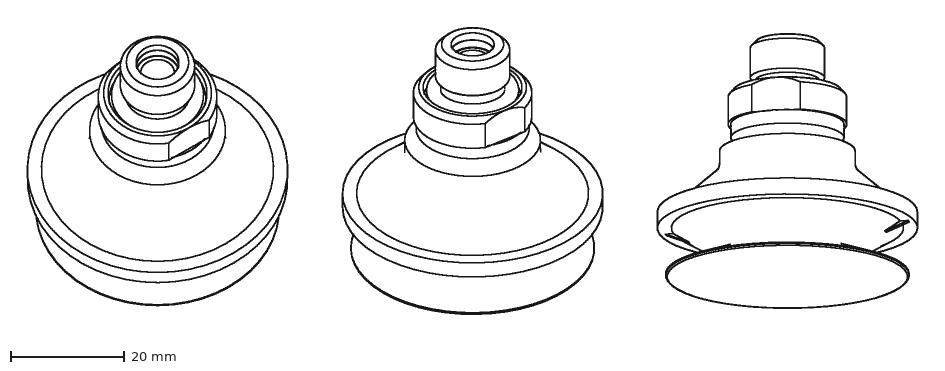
import cadquery as cq
import math

LIP_RADIUS = 21.55
LIP_BOTTOM_RADIUS = 21.25
LIP_EDGE_BOTTOM = 0.28
LIP_EDGE_TOP = 0.5
WAIST_BLEND_RADIUS = 1.2
WAIST_UPPER_RADIUS = 14.4
WAIST_UPPER_Z = 5.25
DISC_RADIUS = 23.0
DISC_BOTTOM_Z = 8.92
DISC_TOP_Z = 11.85
CONE_RADIUS = 20.5
SHOULDER_RADIUS = 12.0
SHOULDER_BLEND_BOTTOM_Z = 18.55
SHOULDER_BLEND_TOP_Z = 20.8
SHOULDER_TOP_Z = 23.0
SHOULDER_BLEND_ANGLE = math.radians(47.5)
NECK_RADIUS = 13.0 / 2
NECK_LOWER_FILLET = 0.9
NECK_UPPER_FILLET = 0.75
COLLAR_RADIUS = 20.0 / 2
COLLAR_BOTTOM_Z = 25.45
COLLAR_TOP_Z = 27.9

RIB_WIDTH = 1.0
RIB_OUTER_RADIUS = 21.95
RIB_BOTTOM_Z = 7.25

NUT_RADIUS = 10.5
NUT_TOP_RADIUS = 9.5
NUT_FLAT_WIDTH = 2 * NUT_TOP_RADIUS
NUT_CHAMFER_Z = 32.95
NUT_TOP_Z = 34.05
STEM_NECK_RADIUS = 5.65
THREAD_RADIUS = 6.6
THREAD_TIP_RADIUS = 11.0 / 2
THREAD_UNDERCUT_Z = 35.93
THREAD_BOTTOM_Z = 36.45
THREAD_CHAMFER_Z = 41.9
FITTING_TOP_Z = 43.0
BORE_RADIUS = 7.6 / 2
BORE_STEP_RADIUS = 7.5 / 2
BORE_STEP_DEPTH = 1.45
BORE_DEPTH = 3.0
PASSAGE_RADIUS = 3.0

O_RING_SECTION_RADIUS = 1.25
O_RING_CENTRE_RADIUS = STEM_NECK_RADIUS + O_RING_SECTION_RADIUS
O_RING_TOP_Z = 34.7
GROOVE_RADIUS = 8.75
GROOVE_FLOOR_RADIUS = 8.55
GROOVE_FLOOR_Z = O_RING_TOP_Z - 2 * O_RING_SECTION_RADIUS

FILTER_RADIUS = BORE_STEP_RADIUS
FILTER_THICKNESS = 0.15
FILTER_TOP_Z = FITTING_TOP_Z - BORE_DEPTH
FILTER_BOTTOM_Z = FILTER_TOP_Z - FILTER_THICKNESS


def cylinder(radius, bottom_z, top_z):
    """Upright cylinder on the part axis."""
    return cq.Workplane("XY").workplane(offset=bottom_z).circle(radius).extrude(top_z - bottom_z)


def revolve_about_axis(profile):
    """Turn a closed (radius, height) profile about the Z axis."""
    return profile.close().revolve(360, (0, 0, 0), (0, 1, 0))


def arc_point(centre_radius, centre_z, arc_radius, angle):
    """Point on an arc in the (radius, height) plane."""
    return centre_radius + arc_radius * math.cos(angle), centre_z + arc_radius * math.sin(angle)


def waist_blend():
    """Middle and both ends of the waist arc, tangent to the lip cone and to the lower cone."""
    cone_angle = math.atan2(DISC_BOTTOM_Z - WAIST_UPPER_Z, CONE_RADIUS - WAIST_UPPER_RADIUS)
    centre_radius = WAIST_UPPER_RADIUS + WAIST_BLEND_RADIUS * math.sin(cone_angle)
    centre_z = WAIST_UPPER_Z - WAIST_BLEND_RADIUS * math.cos(cone_angle)
    lip_run = LIP_RADIUS - centre_radius
    lip_drop = centre_z - LIP_EDGE_TOP
    lip_angle = math.atan2(lip_drop, lip_run) - math.asin(WAIST_BLEND_RADIUS / math.hypot(lip_run, lip_drop))
    lower_end = arc_point(centre_radius, centre_z, WAIST_BLEND_RADIUS, -math.pi / 2 - lip_angle)
    middle = (centre_radius - WAIST_BLEND_RADIUS, centre_z)
    upper_end = (WAIST_UPPER_RADIUS, WAIST_UPPER_Z)
    return lower_end, middle, upper_end


def make_bellows():
    waist_lower_end, waist_middle, waist_upper_end = waist_blend()

    blend_radius = (SHOULDER_BLEND_TOP_Z - SHOULDER_BLEND_BOTTOM_Z) / math.sin(SHOULDER_BLEND_ANGLE)
    blend_centre = SHOULDER_RADIUS + blend_radius
    start_angle = math.pi + SHOULDER_BLEND_ANGLE
    middle_angle = math.pi + SHOULDER_BLEND_ANGLE / 2
    blend_start = arc_point(blend_centre, SHOULDER_BLEND_TOP_Z, blend_radius, start_angle)
    blend_middle = arc_point(blend_centre, SHOULDER_BLEND_TOP_Z, blend_radius, middle_angle)

    lower_fillet_middle = arc_point(
        NECK_RADIUS + NECK_LOWER_FILLET, SHOULDER_TOP_Z + NECK_LOWER_FILLET,
        NECK_LOWER_FILLET, math.radians(225))
    upper_fillet_middle = arc_point(
        NECK_RADIUS + NECK_UPPER_FILLET, COLLAR_BOTTOM_Z - NECK_UPPER_FILLET,
        NECK_UPPER_FILLET, math.radians(135))

    profile = (
        cq.Workplane("XZ")
        .moveTo(0, 0)
        .lineTo(LIP_BOTTOM_RADIUS, 0)
        .lineTo(LIP_RADIUS, LIP_EDGE_BOTTOM)
        .lineTo(LIP_RADIUS, LIP_EDGE_TOP)
        .lineTo(*waist_lower_end)
        .threePointArc(waist_middle, waist_upper_end)
        .lineTo(CONE_RADIUS, DISC_BOTTOM_Z)
        .lineTo(DISC_RADIUS, DISC_BOTTOM_Z)
        .lineTo(DISC_RADIUS, DISC_TOP_Z)
        .lineTo(CONE_RADIUS, DISC_TOP_Z)
        .lineTo(*blend_start)
        .threePointArc(blend_middle, (SHOULDER_RADIUS, SHOULDER_BLEND_TOP_Z))
        .lineTo(SHOULDER_RADIUS, SHOULDER_TOP_Z)
        .lineTo(NECK_RADIUS + NECK_LOWER_FILLET, SHOULDER_TOP_Z)
        .threePointArc(lower_fillet_middle, (NECK_RADIUS, SHOULDER_TOP_Z + NECK_LOWER_FILLET))
        .lineTo(NECK_RADIUS, COLLAR_BOTTOM_Z - NECK_UPPER_FILLET)
        .threePointArc(upper_fillet_middle, (NECK_RADIUS + NECK_UPPER_FILLET, COLLAR_BOTTOM_Z))
        .lineTo(COLLAR_RADIUS, COLLAR_BOTTOM_Z)
        .lineTo(COLLAR_RADIUS, COLLAR_TOP_Z)
        .lineTo(0, COLLAR_TOP_Z)
    )
    return revolve_about_axis(profile)


def make_rib(side):
    """Wedge between the disc and the lower cone; side is -1 or 1 along Y."""
    cone_slope = (CONE_RADIUS - WAIST_UPPER_RADIUS) / (DISC_BOTTOM_Z - WAIST_UPPER_Z)
    rib_foot_radius = WAIST_UPPER_RADIUS + cone_slope * (RIB_BOTTOM_Z - WAIST_UPPER_Z)
    return (
        cq.Workplane("YZ")
        .moveTo(side * WAIST_UPPER_RADIUS, RIB_BOTTOM_Z)
        .lineTo(side * rib_foot_radius, RIB_BOTTOM_Z)
        .lineTo(side * RIB_OUTER_RADIUS, DISC_BOTTOM_Z)
        .lineTo(side * WAIST_UPPER_RADIUS, DISC_BOTTOM_Z)
        .close()
        .extrude(RIB_WIDTH / 2, both=True)
    )


def make_cup():
    cup = make_bellows()
    for side in (-1, 1):
        cup = cup.union(make_rib(side))
    return cup


def make_nut():
    """Round nut with a chamfered top rim, an O-ring groove and two wrench flats."""
    profile = (
        cq.Workplane("XZ")
        .moveTo(0, COLLAR_TOP_Z)
        .lineTo(NUT_RADIUS, COLLAR_TOP_Z)
        .lineTo(NUT_RADIUS, NUT_CHAMFER_Z)
        .lineTo(NUT_TOP_RADIUS, NUT_TOP_Z)
        .lineTo(GROOVE_RADIUS, NUT_TOP_Z)
        .lineTo(GROOVE_FLOOR_RADIUS, GROOVE_FLOOR_Z)
        .lineTo(0, GROOVE_FLOOR_Z)
    )
    nut_height = NUT_TOP_Z - COLLAR_TOP_Z
    flats = (
        cq.Workplane("XY")
        .workplane(offset=COLLAR_TOP_Z)
        .rect(NUT_FLAT_WIDTH, 2 * NUT_RADIUS)
        .extrude(nut_height)
    )
    return revolve_about_axis(profile).intersect(flats)


def make_stem():
    """Threaded spigot with an undercut below the thread."""
    profile = (
        cq.Workplane("XZ")
        .moveTo(0, GROOVE_FLOOR_Z)
        .lineTo(STEM_NECK_RADIUS, GROOVE_FLOOR_Z)
        .lineTo(STEM_NECK_RADIUS, THREAD_UNDERCUT_Z)
        .lineTo(THREAD_RADIUS, THREAD_BOTTOM_Z)
        .lineTo(THREAD_RADIUS, THREAD_CHAMFER_Z)
        .lineTo(THREAD_TIP_RADIUS, FITTING_TOP_Z)
        .lineTo(0, FITTING_TOP_Z)
    )
    return revolve_about_axis(profile)


def make_fitting():
    bore_step_z = FITTING_TOP_Z - BORE_STEP_DEPTH
    return (
        make_nut()
        .union(make_stem())
        .cut(cylinder(BORE_RADIUS, bore_step_z, FITTING_TOP_Z))
        .cut(cylinder(BORE_STEP_RADIUS, FILTER_BOTTOM_Z, bore_step_z))
        .cut(cylinder(PASSAGE_RADIUS, COLLAR_TOP_Z, FILTER_BOTTOM_Z))
    )


def make_o_ring():
    return (
        cq.Workplane("XZ")
        .center(O_RING_CENTRE_RADIUS, GROOVE_FLOOR_Z + O_RING_SECTION_RADIUS)
        .circle(O_RING_SECTION_RADIUS)
        .revolve(360, (-O_RING_CENTRE_RADIUS, 0, 0), (-O_RING_CENTRE_RADIUS, 1, 0))
    )


def make_filter_disc():
    return cylinder(FILTER_RADIUS, FILTER_BOTTOM_Z, FILTER_TOP_Z)


cup = make_cup()
fitting = make_fitting()
o_ring = make_o_ring()
filter_disc = make_filter_disc()

result = cq.Compound.makeCompound([cup.val(), fitting.val(), o_ring.val(), filter_disc.val()])